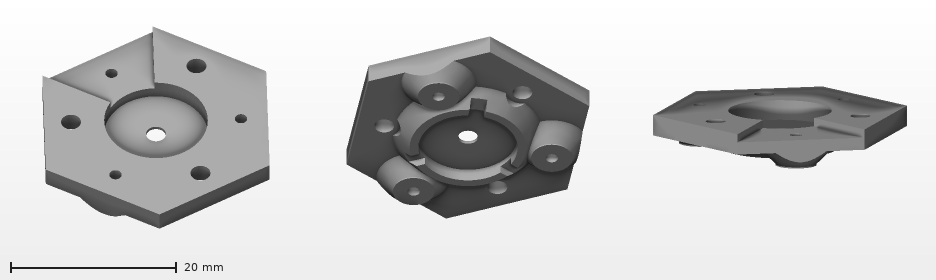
import cadquery as cq
import math

across_flats = 27.0
across_corners = across_flats / math.cos(math.radians(30))
plate_thickness = 2.5

pad_height = 0.15
underbody_height = 2.0
plate_bottom = pad_height + underbody_height
plate_top = plate_bottom + plate_thickness

hole_circle_radius = 10.25
pin_hole_diameter = 1.5
screw_hole_diameter = 2.4
screw_head_diameter = 4.0
pin_angles = (30, 150, 270)
screw_angles = (90, 210, 330)

boss_tip_diameter = 5.0

upper_recess_diameter = 12.5
upper_recess_depth = 2.4
web_thickness = 0.4
lower_recess_diameter = 12.0
center_hole_diameter = 2.4
cup_wall = 0.8
cup_bottom_radius = upper_recess_diameter / 2 + cup_wall
cup_top_radius = cup_bottom_radius + underbody_height

slot_angles = (60, 180, 300)
slot_width = 2.0
slot_height = 1.0

step_depth = 1.0
step_start_angle = 120
step_end_angle = 180


def polar(radius, angle):
    a = math.radians(angle)
    return radius * math.cos(a), radius * math.sin(a)


def cylinder(diameter, bottom, top, center=(0, 0)):
    return (
        cq.Workplane("XY", origin=(center[0], center[1], bottom))
        .circle(diameter / 2)
        .extrude(top - bottom)
    )


def hexagon(bottom, top):
    return (
        cq.Workplane("XY", origin=(0, 0, bottom))
        .polygon(6, across_corners)
        .extrude(top - bottom)
    )


def flared_cone(bottom_radius, center=(0, 0)):
    """45-degree cone widening from the pad level up to the plate."""
    cone = cq.Solid.makeCone(
        bottom_radius,
        bottom_radius + underbody_height,
        underbody_height,
        pnt=cq.Vector(center[0], center[1], pad_height),
    )
    return cq.Workplane(cone)


def pin_boss(center):
    pad = cylinder(boss_tip_diameter, 0, pad_height, center)
    return flared_cone(boss_tip_diameter / 2, center).union(pad)


def sector_step():
    """Triangle between two neighbouring hexagon corners and the centre."""
    corner_radius = across_corners / 2
    start_corner = polar(corner_radius, step_start_angle)
    end_corner = polar(corner_radius, step_end_angle)
    return (
        cq.Workplane("XY", origin=(0, 0, plate_top - step_depth))
        .polyline([(0, 0), start_corner, end_corner])
        .close()
        .extrude(step_depth)
    )


def rim_slot(angle):
    """Slot running outward from the axis through the cup wall."""
    return (
        cq.Workplane("XY", origin=(0, 0, pad_height))
        .rect(cup_top_radius, slot_width, centered=(False, True))
        .extrude(slot_height)
        .rotate((0, 0, 0), (0, 0, 1), angle)
    )


underbody = flared_cone(cup_bottom_radius)
for angle in pin_angles:
    underbody = underbody.union(pin_boss(polar(hole_circle_radius, angle)))
underbody = underbody.intersect(hexagon(0, plate_bottom))
result = hexagon(plate_bottom, plate_top).union(underbody)

web_top = plate_top - upper_recess_depth
result = result.cut(sector_step())
result = result.cut(cylinder(upper_recess_diameter, web_top, plate_top))
result = result.cut(cylinder(lower_recess_diameter, 0, web_top - web_thickness))
result = result.cut(cylinder(center_hole_diameter, 0, plate_top))

for angle in slot_angles:
    result = result.cut(rim_slot(angle))

for angle in pin_angles:
    result = result.cut(cylinder(pin_hole_diameter, 0, plate_top, polar(hole_circle_radius, angle)))
for angle in screw_angles:
    center = polar(hole_circle_radius, angle)
    result = result.cut(cylinder(screw_hole_diameter, 0, plate_top, center))
    result = result.cut(cylinder(screw_head_diameter, 0, plate_bottom, center))